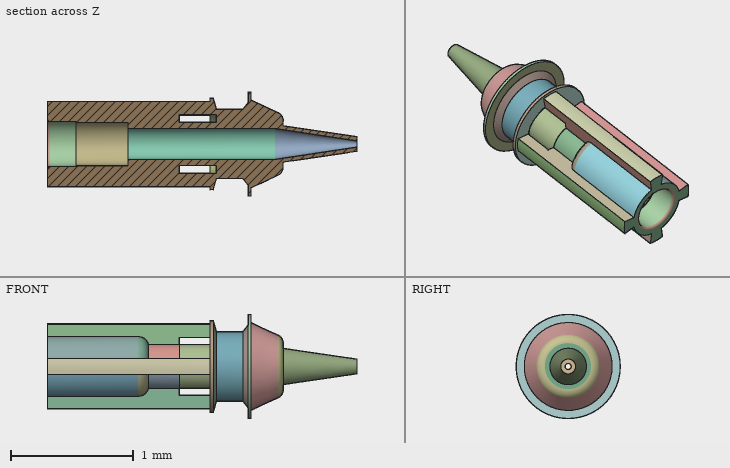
import cadquery as cq
import math

LENGTH = 2.52

BARREL_R = 0.496 / 2
BARREL_END = 0.74
SHOULDER_FILLET = 0.083
CORE_R = 0.365 / 2

FLANGE_START = 1.323
FLANGE_CONE_START = 1.35
FLANGE_R = 0.745 / 2
NECK_START = 1.375
NECK_END = 1.59
NECK_R = 0.567 / 2

COLLAR_START = 1.633
COLLAR_END = 1.658
COLLAR_R = 0.85 / 2
FLARE_R = 0.338

HEAD_R = 0.358
HEAD_END = 1.92
HEAD_TAPER = 25.0
HEAD_FILLET = 0.075

TIP_BASE_R = 0.149
TIP_END_R = 0.06

RIB_COUNT = 4
RIB_OUTER_R = 0.695 / 2
RIB_OUTER_WIDTH = 0.134
RIB_FLANK_ANGLE = 8.0

RELIEF_START = 1.074
RELIEF_R = 0.48 / 2
RELIEF_END = 1.373
RELIEVED_CORE_R = 0.358 / 2

MOUTH_R = 0.365 / 2
MOUTH_FILLET = 0.019
MOUTH_DEPTH = 0.232
BORE_R = 0.35 / 2
BORE_DEPTH = 0.655
DUCT_R = 0.25 / 2
FUNNEL_START = 1.852
OPENING_R = 0.024


def revolve_about_x(profile):
    """Spin a closed profile, drawn as (x, radius), around the X axis."""
    return profile.close().revolve(360, (0, 0, 0), (1, 0, 0))


def make_body():
    """Turned outer shape from the socket barrel to the tip."""
    arc_center_r = BARREL_R - SHOULDER_FILLET
    shoulder_sweep = math.acos((CORE_R - arc_center_r) / SHOULDER_FILLET)
    shoulder_end = BARREL_END + SHOULDER_FILLET * math.sin(shoulder_sweep)
    shoulder_mid = (
        BARREL_END + SHOULDER_FILLET * math.sin(shoulder_sweep / 2),
        arc_center_r + SHOULDER_FILLET * math.cos(shoulder_sweep / 2),
    )

    taper = math.radians(HEAD_TAPER)
    arc_center_x = HEAD_END - HEAD_FILLET
    arc_start_x = arc_center_x + HEAD_FILLET * math.sin(taper)
    arc_start_r = HEAD_R - (arc_start_x - COLLAR_END) * math.tan(taper)
    head_face_r = arc_start_r - HEAD_FILLET * math.cos(taper)
    mid_angle = (taper + math.pi / 2) / 2
    head_mid = (
        arc_center_x + HEAD_FILLET * math.sin(mid_angle),
        head_face_r + HEAD_FILLET * math.cos(mid_angle),
    )

    return revolve_about_x(
        cq.Workplane("XY")
        .lineTo(0, BARREL_R)
        .lineTo(BARREL_END, BARREL_R)
        .threePointArc(shoulder_mid, (shoulder_end, CORE_R))
        .lineTo(FLANGE_START, CORE_R)
        .lineTo(FLANGE_START, FLANGE_R)
        .lineTo(FLANGE_CONE_START, FLANGE_R)
        .lineTo(NECK_START, NECK_R)
        .lineTo(NECK_END, NECK_R)
        .lineTo(COLLAR_START, FLARE_R)
        .lineTo(COLLAR_START, COLLAR_R)
        .lineTo(COLLAR_END, COLLAR_R)
        .lineTo(COLLAR_END, HEAD_R)
        .lineTo(arc_start_x, arc_start_r)
        .threePointArc(head_mid, (HEAD_END, head_face_r))
        .lineTo(HEAD_END, TIP_BASE_R)
        .lineTo(LENGTH, TIP_END_R)
        .lineTo(LENGTH, 0)
    )


def make_ribs():
    """Ribs that widen outward and have round tops."""
    half_outer = RIB_OUTER_WIDTH / 2
    half_axis = half_outer - RIB_OUTER_R * math.tan(math.radians(RIB_FLANK_ANGLE))
    corner_z = math.sqrt(RIB_OUTER_R**2 - half_outer**2)
    rib = (
        cq.Workplane("YZ")
        .moveTo(-half_axis, 0)
        .lineTo(-half_outer, corner_z)
        .threePointArc((0, RIB_OUTER_R), (half_outer, corner_z))
        .lineTo(half_axis, 0)
        .close()
        .extrude(FLANGE_START)
    )
    ribs = rib
    for index in range(1, RIB_COUNT):
        ribs = ribs.union(rib.rotate((0, 0, 0), (1, 0, 0), index * 360 / RIB_COUNT))
    return ribs


def make_relief():
    """Gap under the ribs that slims the core slightly and recesses the flange face."""
    return (
        cq.Workplane("YZ", origin=(RELIEF_START, 0, 0))
        .circle(RELIEF_R)
        .circle(RELIEVED_CORE_R)
        .extrude(RELIEF_END - RELIEF_START)
    )


def make_bore():
    """Stepped bore with a rounded mouth, and the tapering duct from its floor to the tip."""
    fillet_reach = MOUTH_FILLET * (1 - math.sqrt(0.5))
    return revolve_about_x(
        cq.Workplane("XY")
        .lineTo(0, MOUTH_R + MOUTH_FILLET)
        .threePointArc((fillet_reach, MOUTH_R + fillet_reach), (MOUTH_FILLET, MOUTH_R))
        .lineTo(MOUTH_DEPTH, MOUTH_R)
        .lineTo(MOUTH_DEPTH, BORE_R)
        .lineTo(BORE_DEPTH, BORE_R)
        .lineTo(BORE_DEPTH, DUCT_R)
        .lineTo(FUNNEL_START, DUCT_R)
        .lineTo(LENGTH, OPENING_R)
        .lineTo(LENGTH, 0)
    )


result = make_body().union(make_ribs()).cut(make_relief()).cut(make_bore())